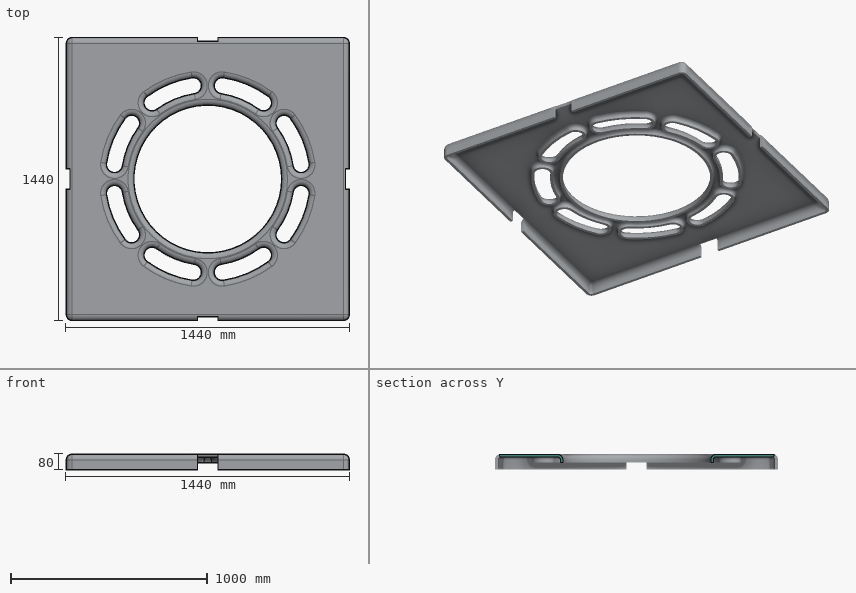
import cadquery as cq
import math

side = 1440.0
height = 80.0
bend_radius = 30.0
sheet = bend_radius / 2
rim_depth = 45.0

hole_radius = 750.0 / 2
slot_count = 8
slot_width = 80.0
slot_gap = 6.0
ring_gap = 5.0

notch_width = 104.0
notch_bend_angle = 67

slot_inner_radius = hole_radius + 2 * bend_radius + ring_gap
slot_outer_radius = slot_inner_radius + slot_width
slot_pitch_radius = slot_inner_radius + slot_width / 2
slot_end_radius = slot_width / 2

rim_end_radius = slot_end_radius + bend_radius
start_angle = math.degrees(math.asin((rim_end_radius + slot_gap / 2) / slot_pitch_radius))
slot_spacing = 360 / slot_count
finish_angle = slot_spacing - start_angle
slot_sweep = finish_angle - start_angle


def spin(shape, angle):
    return shape.rotate((0, 0, 0), (0, 0, 1), angle)


def move_to_slot_end(shape, angle):
    """Move a shape from the origin to the centre of the round slot end at an angle."""
    turn = math.radians(angle)
    return shape.translate((slot_pitch_radius * math.cos(turn), slot_pitch_radius * math.sin(turn), 0))


def tray():
    """Hollow square tray with rounded top and corner edges."""
    body = cq.Workplane("XY").box(side, side, height, centered=(True, True, False))
    body = body.translate((0, 0, -height))
    body = body.edges("|Z or >Z").fillet(bend_radius)
    cavity_side = side - 2 * sheet
    cavity_height = height - sheet
    cavity = cq.Workplane("XY").box(cavity_side, cavity_side, cavity_height, centered=(True, True, False))
    cavity = cavity.translate((0, 0, -height))
    cavity = cavity.edges("|Z or >Z").fillet(bend_radius - sheet)
    return body.cut(cavity)


def notch():
    """Cutter for the notch in the +X wall; it ends the bend on a plane through the bend axis."""
    axis_x = side / 2 - bend_radius
    axis_z = -bend_radius
    angle = math.radians(notch_bend_angle)
    tip_x = axis_x + bend_radius * math.cos(angle)
    tip_z = axis_z + bend_radius * math.sin(angle)
    outline = [
        (axis_x, axis_z),
        (tip_x, tip_z),
        (side / 2, tip_z),
        (side / 2, -height),
        (axis_x, -height),
    ]
    return cq.Workplane("XZ").polyline(outline).close().extrude(notch_width / 2, both=True)


def rim(edge_radius, direction, sweep=360):
    """Rolled rim turned about Z from an opening edge; direction is 1 for outward, -1 for inward."""
    def point(offset, z):
        return edge_radius + direction * offset, z

    diagonal = math.sqrt(0.5)
    outer_mid = bend_radius * (1 - diagonal)
    inner_mid = bend_radius - sheet * diagonal
    profile = (
        cq.Workplane("XZ")
        .moveTo(*point(0, -rim_depth))
        .lineTo(*point(0, -bend_radius))
        .threePointArc(point(outer_mid, -outer_mid), point(bend_radius, 0))
        .lineTo(*point(bend_radius, -sheet))
        .threePointArc(point(inner_mid, -inner_mid), point(sheet, -bend_radius))
        .lineTo(*point(sheet, -rim_depth))
        .close()
    )
    return profile.revolve(sweep, (0, 0, 0), (0, 1, 0))


def slot_rim():
    """Rim of one slot: two long arcs about the tray centre and two half-round ends."""
    outer = spin(rim(slot_outer_radius, 1, slot_sweep), start_angle)
    inner = spin(rim(slot_inner_radius, -1, slot_sweep), start_angle)
    half_round = rim(slot_end_radius, 1, 180)
    start = move_to_slot_end(spin(half_round, start_angle + 180), start_angle)
    finish = move_to_slot_end(spin(half_round, finish_angle), finish_angle)
    return outer.union(inner).union(start).union(finish)


def slot_clearance():
    """Part of the flat top that is replaced by one slot and its rim."""
    inner_radius = slot_inner_radius - bend_radius
    band_width = slot_width + 2 * bend_radius
    section = cq.Workplane("XZ").center(inner_radius, -sheet).rect(band_width, sheet, centered=False)
    band = section.revolve(slot_sweep, (-inner_radius, 0, 0), (-inner_radius, 1, 0))
    band = spin(band, start_angle)
    end = cq.Workplane("XY").circle(rim_end_radius).extrude(-sheet)
    return band.union(move_to_slot_end(end, start_angle)).union(move_to_slot_end(end, finish_angle))


result = tray()
for quarter in range(4):
    result = result.cut(spin(notch(), quarter * 90))
result = result.cut(cq.Workplane("XY").circle(hole_radius + bend_radius).extrude(-sheet))
clearance = slot_clearance()
for index in range(slot_count):
    result = result.cut(spin(clearance, index * slot_spacing))

result = result.union(rim(hole_radius, 1))
single_rim = slot_rim()
for index in range(slot_count):
    result = result.union(spin(single_rim, index * slot_spacing))
result = cq.Workplane(result.solids().val())